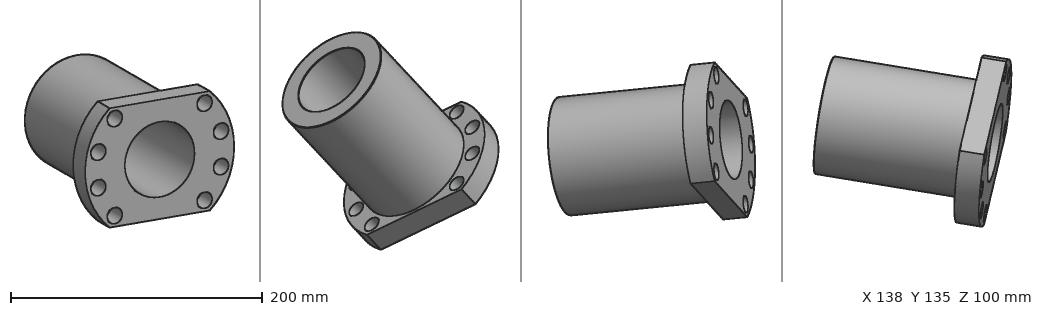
import cadquery as cq

total_length = 138.0
flange_thickness = 20.0

body_diameter = 95.0
bore_diameter = 63.0
flange_diameter = 135.0
flange_height = 100.0

bolt_circle_diameter = 115.0
bolt_hole_diameter = 13.5
bolt_angles = (-45, -15, 15, 45)

body_chamfer = 0.5
bore_chamfer = 0.4


def make_flange():
    """Round disc cut to two parallel flats."""
    start = total_length - flange_thickness
    disc = cq.Workplane("YZ", origin=(start, 0, 0)).circle(flange_diameter / 2).extrude(flange_thickness)
    flats = cq.Workplane("YZ", origin=(start, 0, 0)).rect(flange_diameter, flange_height).extrude(flange_thickness)
    return disc.intersect(flats)


def make_body():
    """Solid cylinder along X with a chamfered free end."""
    body = cq.Workplane("YZ").circle(body_diameter / 2).extrude(total_length)
    return body.faces("<X").chamfer(body_chamfer)


def make_bore():
    """Through bore with a chamfered mouth at the free end."""
    bore = cq.Workplane("YZ").circle(bore_diameter / 2).extrude(total_length)
    mouth = (
        cq.Workplane("YZ")
        .circle(bore_diameter / 2 + bore_chamfer)
        .workplane(offset=bore_chamfer)
        .circle(bore_diameter / 2)
        .loft()
    )
    return bore.union(mouth)


def make_bolt_holes():
    """Two groups of through holes, one on each rounded side of the flange."""
    hole = (
        cq.Workplane("YZ", origin=(0, bolt_circle_diameter / 2, 0))
        .circle(bolt_hole_diameter / 2)
        .extrude(total_length)
    )
    holes = cq.Workplane("YZ")
    for side_angle in (0, 180):
        for bolt_angle in bolt_angles:
            holes = holes.add(hole.rotate((0, 0, 0), (1, 0, 0), side_angle + bolt_angle))
    return holes.combine()


result = make_body().union(make_flange()).cut(make_bore()).cut(make_bolt_holes())